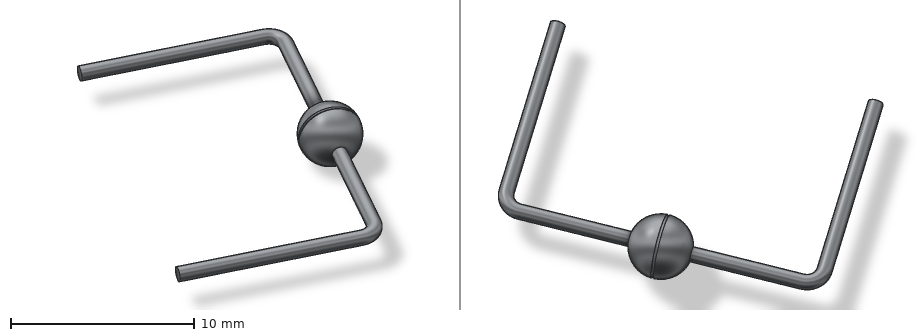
import cadquery as cq
import math

lead_pitch = 18.0
lead_diameter = 0.85
bend_radius = 1.0
leg_end_y = -11.51

bead_diameter = 3.6
groove_width = 0.16


def make_lead():
    """One round wire running down a leg, across the bead and down the other leg."""
    leg_x = lead_pitch / 2
    straight_x = leg_x - bend_radius
    path = (
        cq.Workplane("XY")
        .moveTo(-leg_x, leg_end_y)
        .lineTo(-leg_x, -bend_radius)
        .radiusArc((-straight_x, 0), bend_radius)
        .lineTo(straight_x, 0)
        .radiusArc((leg_x, -bend_radius), bend_radius)
        .lineTo(leg_x, leg_end_y)
    )
    section = cq.Workplane("XZ", origin=(-leg_x, leg_end_y, 0)).circle(lead_diameter / 2)
    return section.sweep(path)


def make_bead():
    """A ball with a shallow round-bottomed groove around its equator, revolved about X."""
    radius = bead_diameter / 2
    half_groove = groove_width / 2
    floor_radius = radius - half_groove
    rim_radius = math.sqrt(radius**2 - half_groove**2)
    return (
        cq.Workplane("XZ")
        .moveTo(-radius, 0)
        .radiusArc((-half_groove, rim_radius), radius)
        .threePointArc((0, floor_radius), (half_groove, rim_radius))
        .radiusArc((radius, 0), radius)
        .close()
        .revolve(360, (0, 0, 0), (1, 0, 0))
    )


result = make_lead().union(make_bead())